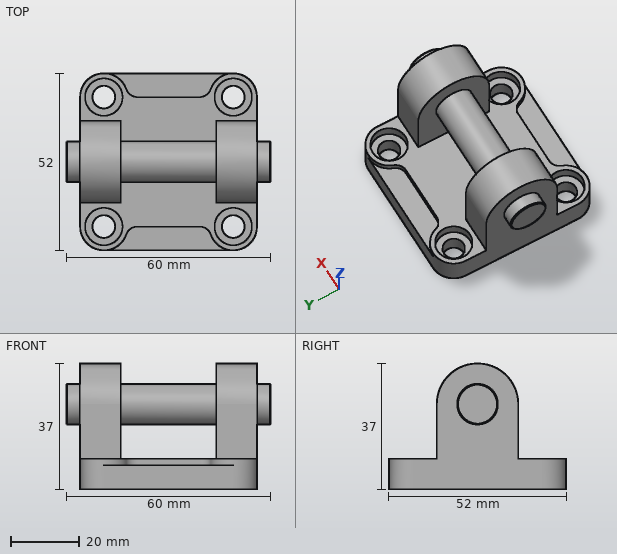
import cadquery as cq
import math

plate_side = 52.0
plate_height = 9.0
hole_spacing = 38.0
hole_diameter = 6.6
counterbore_diameter = 11.0
counterbore_depth = 3.5

relief_depth = 1.9
relief_fillet = 3.5

lug_thickness = 12.0
lug_radius = 12.0
axis_height = 25.0
pin_diameter = 12.0
pin_length = 60.0
pin_chamfer = 0.3

half_side = plate_side / 2
half_spacing = hole_spacing / 2
corner_radius = half_side - half_spacing


def make_plate():
    """Square plate whose corner rounds are concentric with the bolt holes."""
    plate = cq.Workplane("XY").box(plate_side, plate_side, plate_height, centered=(True, True, False))
    return plate.edges("|Z").fillet(corner_radius)


def make_relief():
    """Cutter for the -Y edge: a strip that wraps around the two corner bosses."""
    center_distance = corner_radius + relief_fillet
    fillet_offset = math.sqrt(center_distance**2 - relief_fillet**2)
    line_end = half_spacing - fillet_offset
    fillet_angle = math.atan2(relief_fillet, fillet_offset)

    def boss_point(angle):
        """Point on the +X boss, at an angle below the inward direction."""
        x = half_spacing - corner_radius * math.cos(angle)
        y = -half_spacing - corner_radius * math.sin(angle)
        return x, y

    def fillet_point(angle):
        """Point on the +X fillet, at an angle above the outward direction."""
        x = line_end + relief_fillet * math.cos(angle)
        y = -half_spacing - relief_fillet + relief_fillet * math.sin(angle)
        return x, y

    def mirrored(point):
        return -point[0], point[1]

    tangent = boss_point(fillet_angle)
    boss_middle = boss_point((fillet_angle + math.pi / 2) / 2)
    fillet_middle = fillet_point((fillet_angle + math.pi / 2) / 2)
    outer_corner = (half_spacing, -half_side)
    inner_end = (line_end, -half_spacing)

    return (
        cq.Workplane("XY", origin=(0, 0, plate_height - relief_depth))
        .moveTo(*outer_corner)
        .threePointArc(boss_middle, tangent)
        .threePointArc(fillet_middle, inner_end)
        .lineTo(*mirrored(inner_end))
        .threePointArc(mirrored(fillet_middle), mirrored(tangent))
        .threePointArc(mirrored(boss_middle), mirrored(outer_corner))
        .close()
        .extrude(relief_depth)
    )


def make_lug(start_x):
    """Round-topped lug standing on the plate, extruded along +X from start_x."""
    return (
        cq.Workplane("YZ", origin=(start_x, 0, 0))
        .moveTo(-lug_radius, 0)
        .lineTo(lug_radius, 0)
        .lineTo(lug_radius, axis_height)
        .threePointArc((0, axis_height + lug_radius), (-lug_radius, axis_height))
        .close()
        .extrude(lug_thickness)
    )


def make_pin():
    """Pin through both lugs, lightly chamfered at each end."""
    pin = (
        cq.Workplane("YZ", origin=(-pin_length / 2, 0, axis_height))
        .circle(pin_diameter / 2)
        .extrude(pin_length)
    )
    return pin.faces("<X or >X").edges().chamfer(pin_chamfer)


def cut_bolt_holes(body):
    """Four counterbored through holes, opening on the plate's top face."""
    return (
        body.faces(">Z")
        .workplane(origin=(0, 0, plate_height))
        .rarray(hole_spacing, hole_spacing, 2, 2)
        .cboreHole(hole_diameter, counterbore_diameter, counterbore_depth)
    )


relief = make_relief()
result = cut_bolt_holes(make_plate())
for edge_angle in (0, 180):
    result = result.cut(relief.rotate((0, 0, 0), (0, 0, 1), edge_angle))
for lug_start in (-half_side, half_side - lug_thickness):
    result = result.union(make_lug(lug_start))
result = result.union(make_pin())